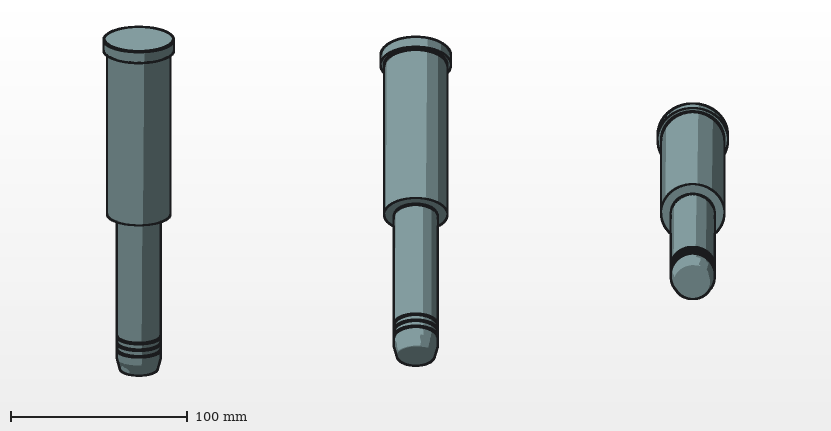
import cadquery as cq

total_length = 200.0
head_diameter = 40.0
head_height = 7.0
head_chamfer = 0.5
body_diameter = 36.0
body_bottom = 94.0
pin_diameter = 25.0

head_relief_height = 1.0
head_relief_depth = 0.5
pin_relief_height = 1.0
pin_relief_depth = 0.5

groove_count = 3
lowest_groove_center = 12.5
groove_pitch = 4.0
groove_width = 1.0
groove_depth = 0.5

tip_height = 7.0
tip_diameter = 21.5
tip_fillet = 1.0


def cylinder(diameter, bottom, top):
    return cq.Workplane("XY").workplane(offset=bottom).circle(diameter / 2).extrude(top - bottom)


def ring_cutter(diameter, depth, bottom, height):
    """Ring that removes the given depth from a shaft of the given diameter."""
    top = bottom + height
    return cylinder(diameter, bottom, top).cut(cylinder(diameter - 2 * depth, bottom, top))


def vee_cutter(diameter, depth, center, width):
    """Ring with a triangular section whose point reaches the given depth into a shaft."""
    radius = diameter / 2
    section = cq.Workplane("XZ").polyline([
        (radius, center - width / 2),
        (radius - depth, center),
        (radius, center + width / 2),
    ]).close()
    return section.revolve(360, (0, 0, 0), (0, 1, 0))


def make_head():
    head = cylinder(head_diameter, total_length - head_height, total_length)
    return head.faces(">Z").edges().chamfer(head_chamfer)


def make_body():
    body_top = total_length - head_height
    relief_center = body_top - head_relief_height / 2
    body = cylinder(body_diameter, body_bottom, body_top)
    return body.cut(vee_cutter(body_diameter, head_relief_depth, relief_center, head_relief_height))


def make_pin():
    pin = cylinder(pin_diameter, tip_height, body_bottom)
    relief_bottom = body_bottom - pin_relief_height
    pin = pin.cut(ring_cutter(pin_diameter, pin_relief_depth, relief_bottom, pin_relief_height))
    for index in range(groove_count):
        groove_center = lowest_groove_center + index * groove_pitch
        pin = pin.cut(vee_cutter(pin_diameter, groove_depth, groove_center, groove_width))
    return pin


def make_tip():
    tip = cq.Workplane("XY").circle(tip_diameter / 2)
    tip = tip.workplane(offset=tip_height).circle(pin_diameter / 2).loft(ruled=True)
    return tip.faces("<Z").edges().fillet(tip_fillet)


result = make_head().union(make_body()).union(make_pin()).union(make_tip())